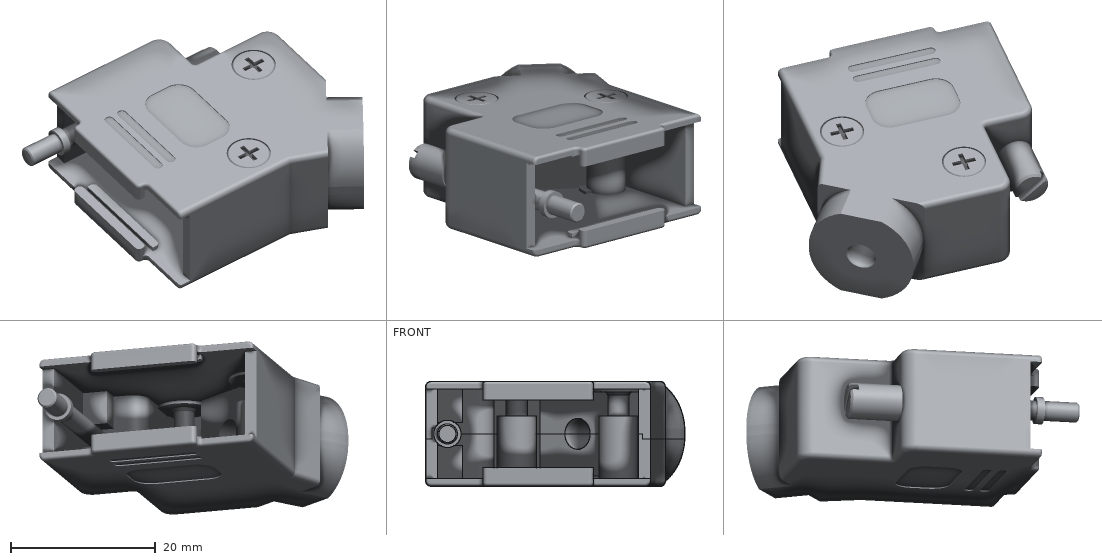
import cadquery as cq
import math


half_height = 7.24
body_width = 31.08
side_length = 18.8
lobe_back = 19.66
shoulder_width = 7.53
body_back = 32.67
outer_corner_radius = 2.0
inner_corner_radius = 0.4
flare_angle = 22.0
side_edge_radius = 0.77
front_edge_radius = 0.4

tab_left = 7.9
tab_right = body_width - tab_left
tab_length = 1.42
tab_corner_radius = 0.64
tab_inner_z = 4.66
ledge_front = 1.1
ledge_back = 2.35
ledge_inner_z = 5.54

plate_thickness = 1.05
side_wall = 1.65
back_wall = 1.94
wall_front = 1.71
block_left = 15.83
block_step_x = 26.6
floor_z = half_height - plate_thickness

collar_angle = 35.0
collar_center = (29.64, 32.34)
collar_half_width = 7.53
collar_flat_half_width = 2.94
collar_side_flat = 0.7
collar_length = 5.0
cable_hole_diameter = 4.25
block_depth = 15.1

lap_outer_z = -0.7
lap_lip_inset = 1.1
tongue_left = 0.9
tongue_top = 0.8

recess_depth = 0.15
label_length = 12.7
label_width = 7.68
label_center_y = 12.62
label_radius = 2.55
grip_width = 1.3
grip_centers_y = (5.6, 3.43)

screw_centers = [(12.59, 26.09), (26.63, 14.99)]
head_radius = 3.04
head_height = 1.0
head_chamfer = 0.25
cross_length = 3.3
cross_width = 0.68
cross_depth = 0.7
neck_radius = 1.75
neck_end_z = 5.34
shank_radius = 1.46
shank_end_z = -4.5
post_radius = 2.72
post_top_z = 2.5
pad_radius = 3.75
pad_inner_z = 5.8

jack_x = 3.02
jack_radius = 1.38
jack_tip_y = -5.68
jack_tip_chamfer = 0.2
jack_flange_radius = 1.88
jack_flange_front = -0.65
jack_flange_back = 0.42
knob_radius = 2.5
knob_length = 7.28
knob_chamfer = 0.3
knob_slot_width = 1.05
knob_slot_depth = 1.2
knob_slot_angle = 39.0
guide_right = 5.1
guide_half_gap = 1.6
guide_length = 3.0

angle = math.radians(collar_angle)
across = (math.cos(angle), -math.sin(angle))
outward = (math.sin(angle), math.cos(angle))


def block_from(x0, x1, y0, y1, z0, z1):
    """Axis-aligned block between two opposite corners."""
    return cq.Workplane("XY").box(x1 - x0, y1 - y0, z1 - z0, centered=False).translate((x0, y0, z0))


def cylinder_z(center, radius, z0, z1):
    """Upright cylinder between two heights."""
    return cq.Workplane("XY", origin=(center[0], center[1], z0)).circle(radius).extrude(z1 - z0)


def cylinder_y(radius, y0, y1):
    """Cylinder on the jackscrew axis between two Y positions."""
    return cq.Workplane("XZ", origin=(jack_x, y0, 0)).circle(radius).extrude(y0 - y1)


def collar_plane(depth):
    """Workplane square to the cable, a given depth below the end of the collar."""
    origin = (collar_center[0] - depth * outward[0], collar_center[1] - depth * outward[1], 0)
    return cq.Workplane(cq.Plane(origin=origin, xDir=(*across, 0), normal=(*outward, 0)))


def beyond_collar_plane(depth):
    """Everything on the cable side of a plane across the cable."""
    reach = 4 * half_height
    return collar_plane(depth).rect(2 * reach, 2 * reach).extrude(reach)


def arc_middle(center, radius, x_side, y_side):
    """Midpoint of a quarter arc; the side signs pick the quadrant around its centre."""
    reach = radius * math.sqrt(0.5)
    return (center[0] + x_side * reach, center[1] + y_side * reach)


def outline():
    """Plan outline of the housing, with the corner under the collar left unclipped."""
    flare_run = (body_back - side_length) * math.tan(math.radians(flare_angle))
    tab = tab_corner_radius
    outer = outer_corner_radius
    inner = inner_corner_radius
    main_left = shoulder_width
    tab_root_left = (tab_left - tab, -tab)
    tab_tip_left = (tab_left + tab, -tab_length + tab)
    tab_tip_right = (tab_right - tab, -tab_length + tab)
    tab_root_right = (tab_right + tab, -tab)
    main_corner = (main_left + outer, body_back - outer)
    shoulder_corner = (main_left - inner, lobe_back + inner)
    lobe_corner = (outer, lobe_back - outer)
    return (
        cq.Workplane("XY", origin=(0, 0, -half_height))
        .moveTo(0, 0)
        .lineTo(tab_left - tab, 0)
        .threePointArc(arc_middle(tab_root_left, tab, 1, 1), (tab_left, -tab))
        .lineTo(tab_left, -tab_length + tab)
        .threePointArc(arc_middle(tab_tip_left, tab, -1, -1), (tab_left + tab, -tab_length))
        .lineTo(tab_right - tab, -tab_length)
        .threePointArc(arc_middle(tab_tip_right, tab, 1, -1), (tab_right, -tab_length + tab))
        .lineTo(tab_right, -tab)
        .threePointArc(arc_middle(tab_root_right, tab, -1, 1), (tab_right + tab, 0))
        .lineTo(body_width, 0)
        .lineTo(body_width, side_length)
        .lineTo(body_width + flare_run, body_back)
        .lineTo(main_left + outer, body_back)
        .threePointArc(arc_middle(main_corner, outer, -1, 1), (main_left, body_back - outer))
        .lineTo(main_left, lobe_back + inner)
        .threePointArc(arc_middle(shoulder_corner, inner, 1, -1), (main_left - inner, lobe_back))
        .lineTo(outer, lobe_back)
        .threePointArc(arc_middle(lobe_corner, outer, -1, 1), (0, lobe_back - outer))
        .close()
    )


def rim_edges(solid, front):
    """Edges around the two outer faces, either those of the front or all the others."""
    picked = []
    for edge in solid.faces("<Z or >Z").edges().vals():
        is_front = edge.Center().y < front_edge_radius
        if is_front == front:
            picked.append(edge)
    return solid.newObject(picked)


def body_blank():
    """Solid body with rounded rims, ended square to the cable where the collar starts."""
    blank = outline().extrude(2 * half_height)
    blank = rim_edges(blank, front=False).fillet(side_edge_radius)
    blank = rim_edges(blank, front=True).fillet(front_edge_radius)
    return blank.cut(beyond_collar_plane(collar_length))


def collar():
    """Round collar with flat top and bottom and narrow side flats."""
    side = collar_half_width
    flat = collar_flat_half_width
    low = collar_side_flat
    top = half_height
    arc_center = (flat ** 2 + top ** 2 - side ** 2 - low ** 2) / (2 * (top - low))
    arc_radius = math.hypot(side, low - arc_center)
    middle = (math.atan2(low - arc_center, side) + math.atan2(top - arc_center, flat)) / 2
    mid_x = arc_radius * math.cos(middle)
    mid_y = arc_center + arc_radius * math.sin(middle)
    return (
        collar_plane(collar_length)
        .moveTo(side, -low)
        .lineTo(side, low)
        .threePointArc((mid_x, mid_y), (flat, top))
        .lineTo(-flat, top)
        .threePointArc((-mid_x, mid_y), (-side, low))
        .lineTo(-side, -low)
        .threePointArc((-mid_x, -mid_y), (-flat, -top))
        .lineTo(flat, -top)
        .threePointArc((mid_x, -mid_y), (side, -low))
        .close()
        .extrude(collar_length)
    )


def block_face_y(x):
    """Y of the slanted inner face of the cable block at a given X."""
    face_x = collar_center[0] - block_depth * outward[0]
    face_y = collar_center[1] - block_depth * outward[1]
    return face_y - (x - face_x) * math.tan(angle)


def cavity():
    """Hollow between the two plates, including the open strip in front of the walls."""
    lobe_inner = lobe_back - back_wall
    main_left = shoulder_width + back_wall
    right = body_width - side_wall
    bend_radius = inner_corner_radius + back_wall
    arc_x = main_left - bend_radius
    arc_y = lobe_inner + bend_radius
    room = (
        cq.Workplane("XY", origin=(0, 0, -floor_z))
        .moveTo(side_wall, 0)
        .lineTo(right, 0)
        .lineTo(right, block_face_y(block_step_x))
        .lineTo(block_step_x, block_face_y(block_step_x))
        .lineTo(block_left, block_face_y(block_left))
        .lineTo(block_left, body_back - back_wall)
        .lineTo(main_left, body_back - back_wall)
        .lineTo(main_left, arc_y)
        .threePointArc(arc_middle((arc_x, arc_y), bend_radius, 1, -1), (arc_x, lobe_inner))
        .lineTo(side_wall, lobe_inner)
        .close()
        .extrude(2 * floor_z)
    )
    open_strip = block_from(0, body_width, 0, wall_front, -floor_z, floor_z)
    tab_space = block_from(0, body_width, -tab_length, 0, -floor_z, floor_z)
    tab_gap = block_from(0, body_width, -tab_length, 0, -tab_inner_z, tab_inner_z)
    tab = block_from(tab_left, tab_right, -tab_length, 0, -floor_z, floor_z)
    tab = tab.edges("|Z and >Y").fillet(tab_corner_radius)
    return room.union(open_strip).union(tab_space.cut(tab)).union(tab_gap)


def plate_features(side):
    """Flange ledge, screw pads and jackscrew guide on one plate (side is +1 top, -1 bottom)."""
    ledge = block_from(tab_left, tab_right, ledge_front, ledge_back, ledge_inner_z, floor_z)
    ledge = ledge.edges("|Z and >Y").fillet(tab_corner_radius)
    guide_back = lobe_back - back_wall
    guide = block_from(side_wall, guide_right, guide_back - guide_length, guide_back, guide_half_gap, floor_z)
    features = [ledge, guide]
    for center in screw_centers:
        pad = cylinder_z(center, pad_radius, pad_inner_z, floor_z)
        if side < 0:
            x, y = center
            front_half = block_from(x - pad_radius, x + pad_radius, y - pad_radius, y, pad_inner_z, floor_z)
            pad = pad.cut(front_half)
        features.append(pad)
    if side < 0:
        features = [feature.mirror("XY") for feature in features]
    return features


def face_recesses(side):
    """Label panel and grip grooves sunk into one outer face."""
    center_x = body_width / 2
    start_z = half_height - recess_depth
    label = cq.Workplane("XY", origin=(center_x, label_center_y, start_z))
    label = label.rect(label_length, label_width).extrude(recess_depth).edges("|Z").fillet(label_radius)
    recesses = [label]
    for y in grip_centers_y:
        grip = cq.Workplane("XY", origin=(center_x, y, start_z))
        recesses.append(grip.slot2D(label_length, grip_width).extrude(recess_depth))
    if side < 0:
        recesses = [recess.mirror("XY") for recess in recesses]
    return recesses


def housing():
    """Both shells as one closed hood, before posts, screw holes and the lap joint."""
    hood = body_blank().union(collar()).cut(cavity())
    inside = outline().offset2D(-side_wall / 2).extrude(2 * half_height)
    for side in (1, -1):
        for feature in plate_features(side):
            hood = hood.union(feature.intersect(inside))
        for recess in face_recesses(side):
            hood = hood.cut(recess)
    cable_hole = collar_plane(block_depth).circle(cable_hole_diameter / 2).extrude(block_depth)
    jack_hole = cylinder_y(jack_radius, wall_front, lobe_back)
    return hood.cut(cable_hole).cut(jack_hole)


def lower_zone():
    """Space owned by the lower shell: low outer wall, higher inner lip and a side tongue."""
    reach = 2 * body_back
    zone = block_from(-reach, reach, -reach, reach, -half_height, lap_outer_z)
    lip = outline().offset2D(-lap_lip_inset).extrude(half_height)
    lip = lip.cut(beyond_collar_plane(collar_length + lap_lip_inset))
    tongue = block_from(tongue_left, side_wall, wall_front, lobe_back - back_wall, lap_outer_z, tongue_top)
    return zone.union(lip).union(tongue)


def cover_screw(center):
    """Flat-headed cross-recess screw, head flush with the top face."""
    head_bottom = half_height - head_height
    head = cylinder_z(center, head_radius, head_bottom, half_height)
    head = head.faces(">Z").edges().chamfer(head_chamfer)
    neck = cylinder_z(center, neck_radius, pad_inner_z, head_bottom)
    taper = (
        cq.Workplane("XY", origin=(center[0], center[1], pad_inner_z))
        .circle(neck_radius)
        .workplane(offset=neck_end_z - pad_inner_z)
        .circle(shank_radius)
        .loft()
    )
    shank = cylinder_z(center, shank_radius, shank_end_z, neck_end_z)
    screw = head.union(neck).union(taper).union(shank)
    for length, width in ((cross_length, cross_width), (cross_width, cross_length)):
        arm = cq.Workplane("XY", origin=(center[0], center[1], half_height - cross_depth))
        screw = screw.cut(arm.rect(length, width).extrude(cross_depth))
    return screw


def jackscrew():
    """Captive jackscrew: slotted knob behind the shoulder, plain shaft and a flange in front."""
    knob_end = lobe_back + knob_length
    shaft = cylinder_y(jack_radius, jack_tip_y, lobe_back).faces("<Y").edges().chamfer(jack_tip_chamfer)
    flange = cylinder_y(jack_flange_radius, jack_flange_front, jack_flange_back)
    knob = cylinder_y(knob_radius, lobe_back, knob_end).faces(">Y").edges().chamfer(knob_chamfer)
    slot = (
        cq.Workplane("XY")
        .box(3 * knob_radius, 2 * knob_slot_depth, knob_slot_width)
        .rotate((0, 0, 0), (0, 1, 0), knob_slot_angle)
        .translate((jack_x, knob_end, 0))
    )
    return shaft.union(flange).union(knob.cut(slot))


hood = housing()
zone = lower_zone()
lower_shell = hood.intersect(zone)
upper_shell = hood.cut(zone)
for screw_center in screw_centers:
    post = cylinder_z(screw_center, post_radius, -floor_z, post_top_z)
    screw_hole = cylinder_z(screw_center, shank_radius, shank_end_z, post_top_z)
    lower_shell = lower_shell.union(post).cut(screw_hole)
    upper_shell = upper_shell.cut(post)

screws = [cover_screw(screw_center) for screw_center in screw_centers]
seat_z = half_height - head_height
for screw_center in screw_centers:
    head_seat = cylinder_z(screw_center, head_radius, seat_z, half_height)
    neck_hole = cylinder_z(screw_center, neck_radius, post_top_z, seat_z)
    upper_shell = upper_shell.cut(head_seat).cut(neck_hole)

jack = jackscrew()

result = cq.Compound.makeCompound(
    [lower_shell.val(), upper_shell.val(), jack.val(), *[screw.val() for screw in screws]]
)